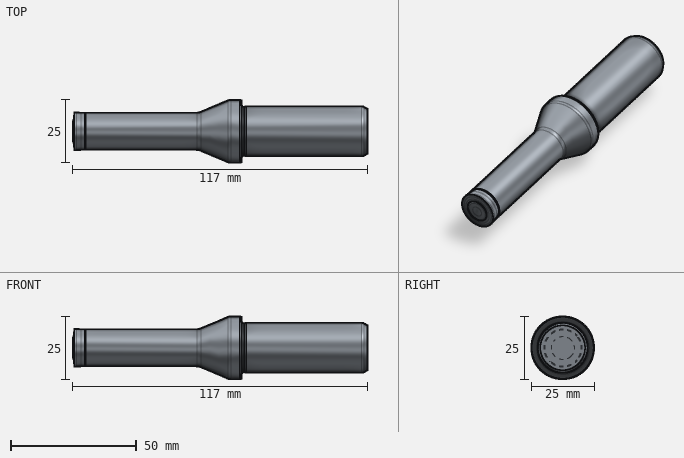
import math

import cadquery as cq


DIMPLE_RADIUS = 2.1
DIMPLE_DEPTH = 0.2
BOSS_FLAT_RADIUS = 3.9
BOSS_RADIUS = 4.6
BOSS_EDGE_X = 0.1
FACE_X = 0.4
FACE_RADIUS = 5.6
RIM_X = 0.5
RIM_INNER_RADIUS = 6.5

RIM_RADIUS = 15.1 / 2
RIM_END_X = 1.3
TAPER_END_X = 3.0
JOINT_X = 4.9
JOINT_CHAMFER = 0.2

NECK_RADIUS = 14.9 / 2
NECK_END_X = 49.1
NECK_BLEND_LENGTH = 1.6
COLLAR_RADIUS = 25.0 / 2
COLLAR_START_X = 62.7
COLLAR_BLEND_LENGTH = 1.2
COLLAR_END_X = 67.0
COLLAR_CHAMFER_LENGTH = 0.7
COLLAR_CHAMFER_DEPTH = 0.2

RELIEF_RADIUS = 19.5 / 2
RELIEF_ROOT_FILLET = 0.7
RELIEF_END_X = 68.1
SHANK_RADIUS = 20.0 / 2
SHANK_START_X = 68.8
LENGTH = 117.0
END_CHAMFER_LENGTH = 1.4
END_CHAMFER_ANGLE = math.radians(30)
END_BLEND_LENGTH = 1.0

CONE_CORNER_DISTANCE = (
    COLLAR_START_X - NECK_END_X - (NECK_BLEND_LENGTH + COLLAR_BLEND_LENGTH) / 2
)
CONE_ANGLE = math.atan((COLLAR_RADIUS - NECK_RADIUS) / CONE_CORNER_DISTANCE)
CONE_START_X = NECK_END_X + NECK_BLEND_LENGTH
CONE_END_X = COLLAR_START_X - COLLAR_BLEND_LENGTH


def blend_rise(length, angle):
    """Radius change of an arc that starts parallel to the axis and turns by angle."""
    return length * math.tan(angle / 2)


def spin(profile):
    """Revolve a closed (x, radius) half section about the X axis."""
    return profile.close().revolve(360, (0, 0, 0), (1, 0, 0))


def make_tip():
    joint_edge_x = JOINT_X - JOINT_CHAMFER
    blank = spin(
        cq.Workplane("XY")
        .lineTo(0, BOSS_FLAT_RADIUS)
        .lineTo(BOSS_EDGE_X, BOSS_RADIUS)
        .lineTo(FACE_X, BOSS_RADIUS)
        .lineTo(FACE_X, FACE_RADIUS)
        .lineTo(RIM_X, RIM_INNER_RADIUS)
        .lineTo(RIM_X, RIM_RADIUS)
        .lineTo(RIM_END_X, RIM_RADIUS)
        .lineTo(TAPER_END_X, NECK_RADIUS)
        .lineTo(joint_edge_x, NECK_RADIUS)
        .lineTo(JOINT_X, NECK_RADIUS - JOINT_CHAMFER)
        .lineTo(JOINT_X, 0)
    )
    dimple = spin(cq.Workplane("XY").lineTo(0, DIMPLE_RADIUS).lineTo(DIMPLE_DEPTH, 0))
    return blank.cut(dimple)


def make_holder():
    cone_start_radius = NECK_RADIUS + blend_rise(NECK_BLEND_LENGTH, CONE_ANGLE)
    cone_end_radius = COLLAR_RADIUS - blend_rise(COLLAR_BLEND_LENGTH, CONE_ANGLE)
    end_chamfer_x = LENGTH - END_CHAMFER_LENGTH
    end_chamfer_radius = SHANK_RADIUS - blend_rise(END_BLEND_LENGTH, END_CHAMFER_ANGLE)
    end_radius = end_chamfer_radius - END_CHAMFER_LENGTH * math.tan(END_CHAMFER_ANGLE)
    return spin(
        cq.Workplane("XY")
        .moveTo(JOINT_X, 0)
        .lineTo(JOINT_X, NECK_RADIUS - JOINT_CHAMFER)
        .lineTo(JOINT_X + JOINT_CHAMFER, NECK_RADIUS)
        .lineTo(NECK_END_X, NECK_RADIUS)
        .tangentArcPoint((CONE_START_X, cone_start_radius), relative=False)
        .lineTo(CONE_END_X, cone_end_radius)
        .tangentArcPoint((COLLAR_START_X, COLLAR_RADIUS), relative=False)
        .lineTo(COLLAR_END_X - COLLAR_CHAMFER_LENGTH, COLLAR_RADIUS)
        .lineTo(COLLAR_END_X, COLLAR_RADIUS - COLLAR_CHAMFER_DEPTH)
        .lineTo(COLLAR_END_X, RELIEF_RADIUS + RELIEF_ROOT_FILLET)
        .tangentArcPoint((COLLAR_END_X + RELIEF_ROOT_FILLET, RELIEF_RADIUS), relative=False)
        .lineTo(RELIEF_END_X, RELIEF_RADIUS)
        .lineTo(SHANK_START_X, SHANK_RADIUS)
        .lineTo(end_chamfer_x - END_BLEND_LENGTH, SHANK_RADIUS)
        .tangentArcPoint((end_chamfer_x, end_chamfer_radius), relative=False)
        .lineTo(LENGTH, end_radius)
        .lineTo(LENGTH, 0)
    )


tip = make_tip()
holder = make_holder()

result = cq.Compound.makeCompound([tip.val(), holder.val()])